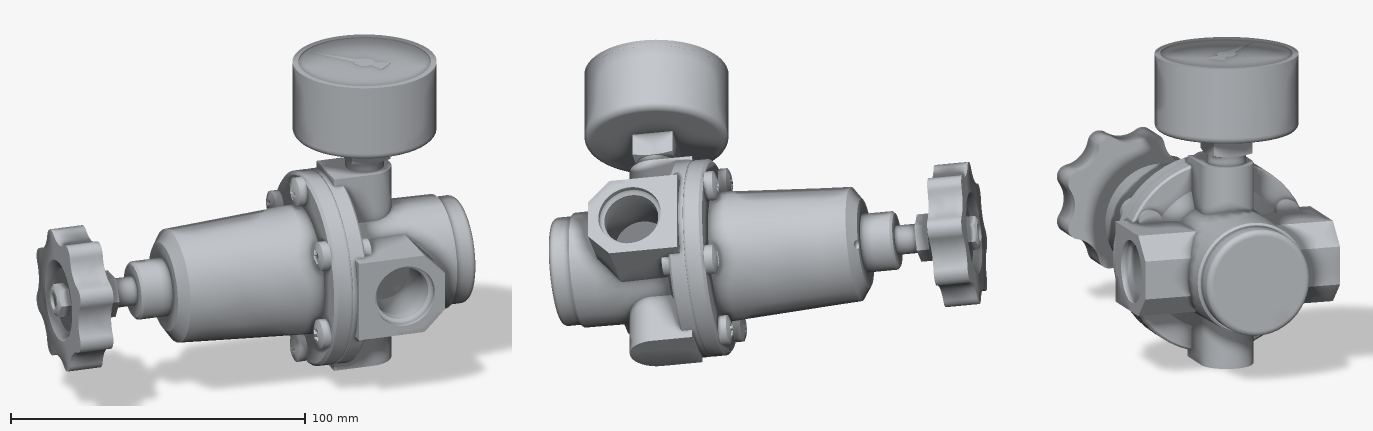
import cadquery as cq
import math


CAP_REAR_Y = 34.0
CAP_FRONT_Y = 27.2
CAP_DIAMETER = 37.0
CAP_EDGE = 2.0
BODY_REAR_RADIUS = 19.6
BODY_FRONT_RADIUS = 20.2
BODY_EDGE = 0.7
WEB_REAR_Y = -6.9

FLANGE_DIAMETER = 67.0
FLANGE_RADIUS = FLANGE_DIAMETER / 2
FLANGE_REAR_Y = -10.0
FLANGE_JOINT_Y = -16.0
FLANGE_FRONT_Y = -22.2
FLANGE_REAR_EDGE = 0.7
FLANGE_FRONT_EDGE = 1.0
FLANGE_WEB_RADIUS = 25.2
JOINT_GROOVE_WIDTH = 0.6
JOINT_GROOVE_DEPTH = 0.3

BONNET_REAR_RADIUS = 22.3
BONNET_FRONT_RADIUS = 19.5
BONNET_EDGE_Y = -69.3
BONNET_FRONT_Y = -72.4
BONNET_NOSE_RADIUS = 15.2
COLLAR_DIAMETER = 20.0
COLLAR_FRONT_Y = -83.4
COLLAR_EDGE = 0.8
VENT_DIAMETER = 3.0
VENT_RADIUS = 15.4
VENT_ANGLE = 210.0
VENT_DEPTH = 1.8

BLOCK_LENGTH = 70.0
BLOCK_HEIGHT = 28.0
BLOCK_REAR_Y = 16.8
BLOCK_FRONT_Y = -14.1
BLOCK_CHAMFER = 7.4
PORT_Y = 2.4
PORT_DIAMETER = 18.63
PORT_MOUTH_DIAMETER = 21.6
PORT_MOUTH_DEPTH = 2.0
PORT_CONE_DEPTH = 1.0
PORT_DEPTH = 22.0

BOSS_WIDTH = 18.2
BOSS_TOP_Z = 35.0

SCREW_COUNT = 6
SCREW_CIRCLE_RADIUS = 28.4
SCREW_HEAD_DIAMETER = 10.0
SCREW_RIM_HEIGHT = 2.8
SCREW_HEAD_HEIGHT = 4.1
CROSS_LENGTH = 5.0
CROSS_WIDTH = 1.6
CROSS_DEPTH = 1.5
SCREW_TAIL_DIAMETER = 8.2
SCREW_TAIL_REAR_Y = -7.4

SPINDLE_DIAMETER = 10.0
SPINDLE_EDGE = 0.8
LOCK_NUT_FLATS = 14.0
LOCK_NUT_REAR_Y = -90.9
LOCK_NUT_FRONT_Y = -95.2

WHEEL_REAR_Y = -98.2
WHEEL_FRONT_Y = -110.0
LOBE_COUNT = 8
LOBE_RADIUS = 4.0
WHEEL_HALF_WIDTH = 22.8
SCALLOP_BOTTOM_RADIUS = 20.4
RECESS_MOUTH_DIAMETER = 28.0
RECESS_FLOOR_DIAMETER = 22.0
RECESS_DEPTH = 2.6

WHEEL_NUT_FLATS = 10.0
WHEEL_NUT_FRONT_Y = -111.85
WHEEL_NUT_FACE_DIAMETER = 8.4
WHEEL_NUT_EDGE = 1.0
SOCKET_MOUTH_DIAMETER = 6.0
SOCKET_DIAMETER = 5.1
SOCKET_DEPTH = 1.0

ARROW_X = -14.6
ARROW_Z = 25.0
ARROW_LENGTH = 5.0
ARROW_HEAD_LENGTH = 2.2
ARROW_HEAD_WIDTH = 2.0
ARROW_SHAFT_WIDTH = 1.2
ARROW_HEIGHT = 0.1

GAUGE_TOP_Z = 73.0
GAUGE_BOTTOM_Z = 46.6
BEZEL_DIAMETER = 49.0
BEZEL_HEIGHT = 2.2
CASE_DIAMETER = 48.96
CASE_EDGE = 2.2
DIAL_DIAMETER = 45.0
DIAL_DEPTH = 0.5
STEM_SIZE = 13.9
STEM_BOTTOM_Z = 38.2
STEM_EDGE = 0.8
NECK_DIAMETER = 13.16
NEEDLE_HEIGHT = 0.2
NEEDLE_ANGLE = 225.0
NEEDLE_TIP = 20.2
NEEDLE_ROOT_WIDTH = 2.9
NEEDLE_HUB_RADIUS = 3.5
NEEDLE_TAIL = 8.1
NEEDLE_TAIL_ROOT = 3.0
NEEDLE_TAIL_ROOT_WIDTH = 2.6
NEEDLE_TAIL_WIDTH = 7.0


def turned(profile):
    """Revolve a closed (radius, y) profile about the Y axis."""
    return cq.Workplane("XY").polyline(profile).close().revolve(360, (0, 0, 0), (0, 1, 0))


def facing_front(y):
    """Workplane at height y, with local x along X, local y along Z and its normal toward -Y."""
    return cq.Workplane("XZ", origin=(0, y, 0))


def polar(radius, degrees):
    angle = math.radians(degrees)
    return (radius * math.cos(angle), radius * math.sin(angle))


def hex_prism(flats, rear_y, front_y):
    """Hexagon with two flats facing +Z and -Z."""
    across_corners = flats / math.cos(math.pi / 6)
    return facing_front(rear_y).polygon(6, across_corners).extrude(rear_y - front_y)


def main_body():
    cap_radius = CAP_DIAMETER / 2
    edge_radius = FLANGE_RADIUS - FLANGE_REAR_EDGE
    groove_radius = FLANGE_RADIUS - JOINT_GROOVE_DEPTH
    groove_rear_y = FLANGE_JOINT_Y + JOINT_GROOVE_WIDTH / 2
    groove_front_y = FLANGE_JOINT_Y - JOINT_GROOVE_WIDTH / 2
    collar_radius = COLLAR_DIAMETER / 2
    spindle_radius = SPINDLE_DIAMETER / 2
    cap = turned([
        (0, CAP_REAR_Y),
        (cap_radius, CAP_REAR_Y),
        (cap_radius, CAP_FRONT_Y),
        (0, CAP_FRONT_Y),
    ]).faces(">Y").edges().fillet(CAP_EDGE)
    rest = turned([
        (0, CAP_FRONT_Y),
        (BODY_REAR_RADIUS - BODY_EDGE, CAP_FRONT_Y),
        (BODY_REAR_RADIUS, CAP_FRONT_Y - BODY_EDGE),
        (BODY_FRONT_RADIUS, WEB_REAR_Y),
        (FLANGE_WEB_RADIUS, FLANGE_REAR_Y),
        (edge_radius, FLANGE_REAR_Y),
        (FLANGE_RADIUS, FLANGE_REAR_Y - FLANGE_REAR_EDGE),
        (FLANGE_RADIUS, groove_rear_y),
        (groove_radius, groove_rear_y),
        (groove_radius, groove_front_y),
        (FLANGE_RADIUS, groove_front_y),
        (FLANGE_RADIUS, FLANGE_FRONT_Y + FLANGE_FRONT_EDGE),
        (FLANGE_RADIUS - FLANGE_FRONT_EDGE, FLANGE_FRONT_Y),
        (BONNET_REAR_RADIUS, FLANGE_FRONT_Y),
        (BONNET_FRONT_RADIUS, BONNET_EDGE_Y),
        (BONNET_NOSE_RADIUS, BONNET_FRONT_Y),
        (collar_radius, BONNET_FRONT_Y),
        (collar_radius, COLLAR_FRONT_Y + COLLAR_EDGE),
        (collar_radius - COLLAR_EDGE, COLLAR_FRONT_Y),
        (spindle_radius, COLLAR_FRONT_Y),
        (spindle_radius, WHEEL_REAR_Y + SPINDLE_EDGE),
        (spindle_radius - SPINDLE_EDGE, WHEEL_REAR_Y),
        (0, WHEEL_REAR_Y),
    ])
    return cap.union(rest)


def port_block():
    block = cq.Workplane("XY").box(BLOCK_LENGTH, BLOCK_REAR_Y - BLOCK_FRONT_Y, BLOCK_HEIGHT)
    block = block.faces(">Y").edges("|X").chamfer(BLOCK_CHAMFER)
    return block.translate((0, (BLOCK_REAR_Y + BLOCK_FRONT_Y) / 2, 0))


def port(side):
    """Blind port cut from the block end at +X (side 1) or -X (side -1)."""
    end = BLOCK_LENGTH / 2
    mouth_floor = end - PORT_MOUTH_DEPTH
    profile = [
        (end, 0),
        (end, PORT_MOUTH_DIAMETER / 2),
        (mouth_floor, PORT_MOUTH_DIAMETER / 2),
        (mouth_floor - PORT_CONE_DEPTH, PORT_DIAMETER / 2),
        (end - PORT_DEPTH, PORT_DIAMETER / 2),
        (end - PORT_DEPTH, 0),
    ]
    points = [(side * x, radius) for x, radius in profile]
    cutter = cq.Workplane("XY").polyline(points).close().revolve(360, (0, 0, 0), (1, 0, 0))
    return cutter.translate((0, PORT_Y, 0))


def gauge_bosses():
    """One post through the body, round at the rear, that stands out above and below."""
    half_width = BOSS_WIDTH / 2
    return (
        cq.Workplane("XY", origin=(0, 0, -BOSS_TOP_Z))
        .moveTo(half_width, BLOCK_FRONT_Y)
        .lineTo(half_width, 0)
        .threePointArc((0, half_width), (-half_width, 0))
        .lineTo(-half_width, BLOCK_FRONT_Y)
        .close()
        .extrude(2 * BOSS_TOP_Z)
    )


def screw_head(angle):
    radius = SCREW_HEAD_DIAMETER / 2
    rim_y = FLANGE_FRONT_Y - SCREW_RIM_HEIGHT
    top_y = FLANGE_FRONT_Y - SCREW_HEAD_HEIGHT
    dome_height = SCREW_HEAD_HEIGHT - SCREW_RIM_HEIGHT
    dome_radius = (radius**2 + dome_height**2) / (2 * dome_height)
    middle = math.asin(radius / dome_radius) / 2
    middle_y = top_y + dome_radius * (1 - math.cos(middle))
    head = (
        cq.Workplane("XY")
        .moveTo(0, FLANGE_FRONT_Y)
        .lineTo(radius, FLANGE_FRONT_Y)
        .lineTo(radius, rim_y)
        .threePointArc((dome_radius * math.sin(middle), middle_y), (0, top_y))
        .close()
        .revolve(360, (0, 0, 0), (0, 1, 0))
    )
    for length, width in ((CROSS_LENGTH, CROSS_WIDTH), (CROSS_WIDTH, CROSS_LENGTH)):
        head = head.cut(facing_front(top_y + CROSS_DEPTH).rect(length, width).extrude(CROSS_DEPTH))
    x, z = polar(SCREW_CIRCLE_RADIUS, angle)
    return head.rotate((0, 0, 0), (0, 1, 0), -angle).translate((x, 0, z))


def screw_tail(angle):
    return (
        facing_front(SCREW_TAIL_REAR_Y)
        .center(*polar(SCREW_CIRCLE_RADIUS, angle))
        .circle(SCREW_TAIL_DIAMETER / 2)
        .extrude(SCREW_TAIL_REAR_Y - FLANGE_JOINT_Y)
    )


def vent_hole():
    return (
        facing_front(BONNET_FRONT_Y + VENT_DEPTH)
        .center(*polar(VENT_RADIUS, VENT_ANGLE))
        .circle(VENT_DIAMETER / 2)
        .extrude(VENT_DEPTH)
    )


def flow_arrow(z):
    """Raised arrow that points toward +X."""
    neck = ARROW_LENGTH - ARROW_HEAD_LENGTH
    half_shaft = ARROW_SHAFT_WIDTH / 2
    half_head = ARROW_HEAD_WIDTH / 2
    return (
        facing_front(FLANGE_FRONT_Y)
        .center(ARROW_X - ARROW_LENGTH / 2, z)
        .polyline([
            (0, half_shaft),
            (neck, half_shaft),
            (neck, half_head),
            (ARROW_LENGTH, 0),
            (neck, -half_head),
            (neck, -half_shaft),
            (0, -half_shaft),
        ])
        .close()
        .extrude(ARROW_HEIGHT)
    )


def wheel():
    """Disc whose rim alternates convex lobes and tangent concave scallops."""
    half_pitch = math.pi / LOBE_COUNT
    pitch_degrees = 360 / LOBE_COUNT
    lobe_centre = (WHEEL_HALF_WIDTH - LOBE_RADIUS) / math.cos(half_pitch)
    lobe_x = lobe_centre * math.cos(half_pitch)
    lobe_z = lobe_centre * math.sin(half_pitch)
    gap = SCALLOP_BOTTOM_RADIUS - LOBE_RADIUS
    scallop_centre = (lobe_centre**2 - gap**2) / (2 * (lobe_x - gap))
    scallop_radius = scallop_centre - SCALLOP_BOTTOM_RADIUS
    share = LOBE_RADIUS / (LOBE_RADIUS + scallop_radius)
    joint_x = lobe_x + share * (scallop_centre - lobe_x)
    joint_z = lobe_z * (1 - share)
    joint_radius = math.hypot(joint_x, joint_z)
    joint_angle = math.degrees(math.atan2(joint_z, joint_x))
    rim = facing_front(WHEEL_REAR_Y).moveTo(joint_x, -joint_z)
    for index in range(LOBE_COUNT):
        angle = index * pitch_degrees
        rim = rim.threePointArc(
            polar(SCALLOP_BOTTOM_RADIUS, angle),
            polar(joint_radius, angle + joint_angle),
        )
        rim = rim.threePointArc(
            polar(lobe_centre + LOBE_RADIUS, angle + pitch_degrees / 2),
            polar(joint_radius, angle + pitch_degrees - joint_angle),
        )
    disc = rim.close().extrude(WHEEL_REAR_Y - WHEEL_FRONT_Y)
    floor_y = WHEEL_FRONT_Y + RECESS_DEPTH
    recess = turned([
        (0, WHEEL_FRONT_Y),
        (RECESS_MOUTH_DIAMETER / 2, WHEEL_FRONT_Y),
        (RECESS_FLOOR_DIAMETER / 2, floor_y),
        (0, floor_y),
    ])
    return disc.cut(recess)


def wheel_nut():
    """Hexagon with a conical front edge and a shallow countersunk socket."""
    floor_y = WHEEL_FRONT_Y + RECESS_DEPTH
    face_radius = WHEEL_NUT_FACE_DIAMETER / 2
    corner_radius = WHEEL_NUT_FLATS / math.sqrt(3)
    envelope = turned([
        (0, floor_y),
        (corner_radius, floor_y),
        (corner_radius, WHEEL_NUT_FRONT_Y + WHEEL_NUT_EDGE),
        (face_radius, WHEEL_NUT_FRONT_Y),
        (0, WHEEL_NUT_FRONT_Y),
    ])
    nut = hex_prism(WHEEL_NUT_FLATS, floor_y, WHEEL_NUT_FRONT_Y).intersect(envelope)
    socket_edge = (SOCKET_MOUTH_DIAMETER - SOCKET_DIAMETER) / 2
    socket = turned([
        (0, WHEEL_NUT_FRONT_Y),
        (SOCKET_MOUTH_DIAMETER / 2, WHEEL_NUT_FRONT_Y),
        (SOCKET_DIAMETER / 2, WHEEL_NUT_FRONT_Y + socket_edge),
        (SOCKET_DIAMETER / 2, WHEEL_NUT_FRONT_Y + SOCKET_DEPTH),
        (0, WHEEL_NUT_FRONT_Y + SOCKET_DEPTH),
    ])
    return nut.cut(socket)


def build_regulator():
    body = main_body().union(port_block()).union(gauge_bosses())
    for index in range(SCREW_COUNT):
        angle = 90 + index * 360 / SCREW_COUNT
        body = body.union(screw_head(angle)).union(screw_tail(angle))
    body = body.union(hex_prism(LOCK_NUT_FLATS, LOCK_NUT_REAR_Y, LOCK_NUT_FRONT_Y))
    body = body.union(wheel()).union(wheel_nut())
    for side in (1, -1):
        body = body.cut(port(side))
    for z in (ARROW_Z, -ARROW_Z):
        body = body.union(flow_arrow(z))
    return body.cut(vent_hole())


def disc_up(diameter, bottom_z, top_z):
    return cq.Workplane("XY", origin=(0, 0, bottom_z)).circle(diameter / 2).extrude(top_z - bottom_z)


def gauge_needle(base_z):
    """Flat needle: tapered pointer, round hub and flared tail."""
    plane = cq.Workplane("XY", origin=(0, 0, base_z))
    pointer = plane.polyline([
        (0, NEEDLE_ROOT_WIDTH / 2),
        (NEEDLE_HUB_RADIUS, NEEDLE_ROOT_WIDTH / 2),
        (NEEDLE_TIP, 0),
        (NEEDLE_HUB_RADIUS, -NEEDLE_ROOT_WIDTH / 2),
        (0, -NEEDLE_ROOT_WIDTH / 2),
    ]).close().extrude(NEEDLE_HEIGHT)
    hub = plane.circle(NEEDLE_HUB_RADIUS).extrude(NEEDLE_HEIGHT)
    tail = plane.polyline([
        (-NEEDLE_TAIL_ROOT, NEEDLE_TAIL_ROOT_WIDTH / 2),
        (-NEEDLE_TAIL, NEEDLE_TAIL_WIDTH / 2),
        (-NEEDLE_TAIL, -NEEDLE_TAIL_WIDTH / 2),
        (-NEEDLE_TAIL_ROOT, -NEEDLE_TAIL_ROOT_WIDTH / 2),
    ]).close().extrude(NEEDLE_HEIGHT)
    return pointer.union(hub).union(tail).rotate((0, 0, 0), (0, 0, 1), NEEDLE_ANGLE)


def gauge_stem():
    """Square stem with its lower corners turned to a cone, above a round neck."""
    stem = cq.Workplane("XY", origin=(0, 0, STEM_BOTTOM_Z)).rect(STEM_SIZE, STEM_SIZE)
    stem = stem.extrude(GAUGE_BOTTOM_Z - STEM_BOTTOM_Z)
    face_radius = STEM_SIZE / 2
    corner_radius = STEM_SIZE / math.sqrt(2)
    corner_cone = (
        cq.Workplane("XZ")
        .polyline([
            (0, STEM_BOTTOM_Z),
            (face_radius, STEM_BOTTOM_Z),
            (corner_radius, STEM_BOTTOM_Z + STEM_EDGE),
            (corner_radius, GAUGE_BOTTOM_Z),
            (0, GAUGE_BOTTOM_Z),
        ])
        .close()
        .revolve(360, (0, 0, 0), (0, 1, 0))
    )
    return stem.intersect(corner_cone).union(disc_up(NECK_DIAMETER, BOSS_TOP_Z, STEM_BOTTOM_Z))


def build_gauge():
    bezel_bottom_z = GAUGE_TOP_Z - BEZEL_HEIGHT
    case = disc_up(CASE_DIAMETER, GAUGE_BOTTOM_Z, bezel_bottom_z).faces("<Z").edges().fillet(CASE_EDGE)
    case = case.union(disc_up(BEZEL_DIAMETER, bezel_bottom_z, GAUGE_TOP_Z))
    dial_z = GAUGE_TOP_Z - DIAL_DEPTH
    case = case.cut(disc_up(DIAL_DIAMETER, dial_z, GAUGE_TOP_Z))
    return case.union(gauge_stem()).union(gauge_needle(dial_z))


regulator = build_regulator()
gauge = build_gauge()

result = cq.Compound.makeCompound([regulator.val(), gauge.val()])